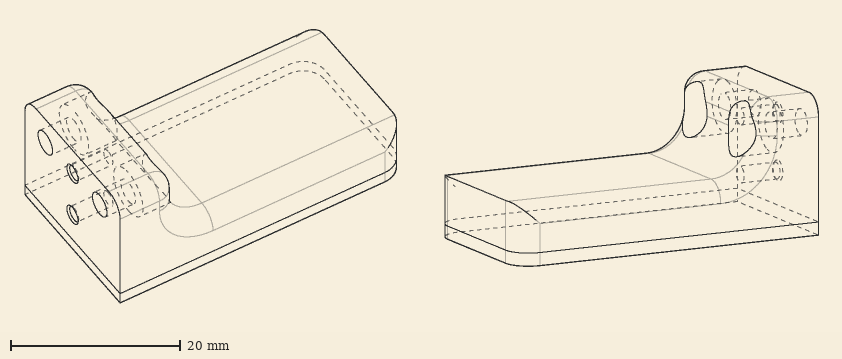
import cadquery as cq
import math

width = 21.0
length = 40.0
height = 16.8

plate_thickness = 1.6
platform_top = 7.6
head_depth = 8.0
cove_radius = 5.0
edge_radius = cove_radius / 2
end_corner_radius = 3.0

screw_spacing = 12.0
screw_hole_diameter = 3.2
counterbore_diameter = 6.5
counterbore_floor = 4.0
upper_hole_height = 12.8

lower_hole_height = 5.8
blind_hole_diameter = 2.0
blind_hole_depth = 5.0
countersink_diameter = 2.5
drill_tip_angle = 118.0


def footprint(bottom, top):
    """Block with the two vertical corners at the far end rounded."""
    block = cq.Workplane("XY", origin=(0, length / 2, bottom)).rect(width, length).extrude(top - bottom)
    return block.edges("|Z and >Y").fillet(end_corner_radius)


def cylinder_along_y(x, z, diameter, start, end):
    """Cylinder parallel to Y, from Y = start to Y = end."""
    return cq.Workplane(
        cq.Solid.makeCylinder(diameter / 2, end - start, cq.Vector(x, start, z), cq.Vector(0, 1, 0))
    )


def housing_blank():
    """Low platform rising through a concave cove into the tall head, with rounded upper edges."""
    blank = (
        cq.Workplane("YZ", origin=(-width / 2, 0, 0))
        .moveTo(0, plate_thickness)
        .lineTo(length, plate_thickness)
        .lineTo(length, platform_top)
        .lineTo(head_depth + cove_radius, platform_top)
        .radiusArc((head_depth, platform_top + cove_radius), cove_radius)
        .lineTo(head_depth, height)
        .lineTo(0, height)
        .close()
        .extrude(width)
    )
    top_edges = blank.faces(">Z").edges("|Y or >Y")
    platform_edges = blank.faces("+Z").faces("<Z").edges("|Y")
    cove_edges = blank.edges("%CIRCLE")
    head_rear_edges = blank.faces("+Y").faces("<Y").edges("|Z")
    upper_edges = top_edges.add(platform_edges).add(cove_edges).add(head_rear_edges)
    return upper_edges.fillet(edge_radius)


def screw_hole(x):
    """Through hole with a counterbore opening toward the platform."""
    bore = cylinder_along_y(x, upper_hole_height, screw_hole_diameter, 0, length)
    counterbore = cylinder_along_y(x, upper_hole_height, counterbore_diameter, counterbore_floor, length)
    return bore.union(counterbore)


def blind_hole(z):
    """Drilled hole with a conical tip and a 45 degree countersink, revolved about its axis."""
    radius = blind_hole_diameter / 2
    mouth_radius = countersink_diameter / 2
    tip_length = radius / math.tan(math.radians(drill_tip_angle / 2))
    return (
        cq.Workplane("XY", origin=(0, 0, z))
        .moveTo(0, 0)
        .lineTo(mouth_radius, 0)
        .lineTo(radius, mouth_radius - radius)
        .lineTo(radius, blind_hole_depth)
        .lineTo(0, blind_hole_depth + tip_length)
        .close()
        .revolve(360, (0, 0, 0), (0, 1, 0))
    )


def make_housing():
    body = housing_blank().intersect(footprint(plate_thickness, height))
    for x in (-screw_spacing / 2, screw_spacing / 2):
        body = body.cut(screw_hole(x))
    for z in (lower_hole_height, upper_hole_height):
        body = body.cut(blind_hole(z))
    return body


def make_base_plate():
    return footprint(0, plate_thickness)


housing = make_housing()
base_plate = make_base_plate()

result = cq.Compound.makeCompound([housing.solids().val(), base_plate.solids().val()])